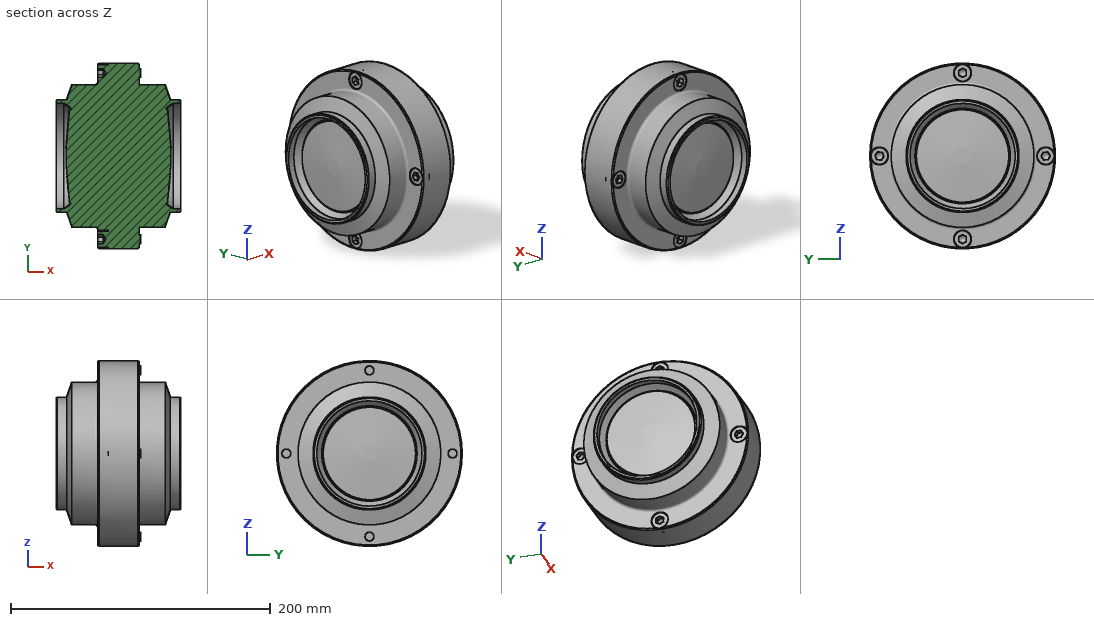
import math

import cadquery as cq

half_length = 48.0
neck_radius = 87.0 / 2
neck_chamfer = 1.0
shoulder_x = 40.0
shoulder_length = 4.0
body_radius = 110.0 / 2

flange_radius = 143.0 / 2
flange_half_width = 16.0
flange_chamfer = 1.0
flange_root_fillet = 2.0

mouth_radius = 81.0 / 2
mouth_depth = 6.0
seat_radius = 75.0 / 2
seat_depth = 10.5
disc_radius = 73.5 / 2
disc_depth = 11.2
disc_face_radius = 71.2 / 2
disc_face_depth = 10.0
disc_centre_radius = 13.0 / 2
disc_centre_depth = 7.5

screw_circle_radius = 64.0
head_bore_radius = 13.5 / 2
head_bore_depth = 8.0
head_radius = 13.0 / 2
head_fillet = 0.6
socket_width = 6.0
socket_depth = 4.0
socket_point_angle = 120.0
tip_radius = 6.8 / 2
tip_length = 1.0

screws = [(0.0, 4.5), (90.0, 30.0), (180.0, -10.0), (270.0, 30.0)]


def plane_facing_minus_x(x):
    """Sketch plane at x: local x is -Y, local y is +Z and the normal is -X."""
    return cq.Workplane(cq.Plane(origin=(x, 0, 0), xDir=(0, -1, 0), normal=(-1, 0, 0)))


def revolve_about_x(outline):
    return outline.close().revolve(360, (0, 0, 0), (1, 0, 0))


def make_half():
    """The -X half of the body, with its port and half of the flange."""
    outline = [
        (0, 0),
        (0, flange_radius),
        (-flange_half_width + flange_chamfer, flange_radius),
        (-flange_half_width, flange_radius - flange_chamfer),
        (-flange_half_width, body_radius),
        (-shoulder_x + shoulder_length, body_radius),
        (-shoulder_x, neck_radius),
        (-half_length + neck_chamfer, neck_radius),
        (-half_length, neck_radius - neck_chamfer),
        (-half_length, mouth_radius),
        (-half_length + mouth_depth, mouth_radius),
        (-half_length + seat_depth, seat_radius),
        (-half_length + disc_depth, disc_radius),
        (-half_length + disc_face_depth, disc_face_radius),
        (-half_length + disc_centre_depth, disc_centre_radius),
        (-half_length + disc_centre_depth, 0),
    ]
    return revolve_about_x(cq.Workplane("XY").polyline(outline))


def make_root_fillet():
    """Concave ring joining the body to the -X face of the flange."""
    ring = (
        cq.Workplane("XY")
        .moveTo(-flange_half_width, body_radius)
        .lineTo(-flange_half_width, body_radius + flange_root_fillet)
        .radiusArc((-flange_half_width - flange_root_fillet, body_radius), flange_root_fillet)
    )
    return revolve_about_x(ring)


def at_screw(workplane, position):
    angle = math.radians(position)
    return workplane.center(
        screw_circle_radius * math.cos(angle),
        screw_circle_radius * math.sin(angle),
    )


def make_head_bore(position):
    """Counterbore cutter, open toward -X past the flange root fillet."""
    floor_x = -flange_half_width + head_bore_depth
    height = head_bore_depth + flange_root_fillet
    return at_screw(plane_facing_minus_x(floor_x), position).circle(head_bore_radius).extrude(height)


def make_head(position, socket_turn):
    """Screw head flush with the flange face, with a hexagon socket."""
    floor_x = -flange_half_width + head_bore_depth
    head = (
        at_screw(plane_facing_minus_x(floor_x), position)
        .circle(head_radius)
        .extrude(head_bore_depth)
        .faces("<X")
        .edges()
        .fillet(head_fillet)
    )
    corner_radius = socket_width / math.sqrt(3)
    point_depth = corner_radius / math.tan(math.radians(socket_point_angle / 2))
    centre = at_screw(plane_facing_minus_x(-flange_half_width), position)
    socket_plane = centre.transformed(rotate=(0, 0, socket_turn))
    hexagon = socket_plane.polygon(6, 2 * corner_radius).extrude(-socket_depth - point_depth)
    point = cq.Workplane("XY").polyline([
        (0, 0),
        (0, corner_radius),
        (socket_depth, corner_radius),
        (socket_depth + point_depth, 0),
    ])
    pointed_bar = revolve_about_x(point).translate(socket_plane.plane.origin)
    return head.cut(hexagon.intersect(pointed_bar))


def make_tip(position):
    """End of a screw standing out of the +X face of the flange."""
    return at_screw(plane_facing_minus_x(flange_half_width), position).circle(tip_radius).extrude(-tip_length)


half = make_half()
result = half.union(half.mirror("YZ")).union(make_root_fillet())
for screw_position, screw_turn in screws:
    result = result.cut(make_head_bore(screw_position))
    result = result.union(make_head(screw_position, screw_turn))
    result = result.union(make_tip(screw_position))